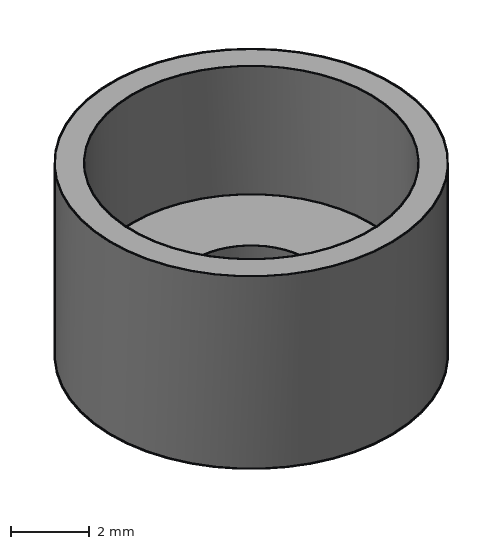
import cadquery as cq

outer_diameter = 10
height = 6
pocket_diameter = 8.5
hole_diameter = 4
floor_thickness = 2

pocket_depth = height - floor_thickness

body = cq.Workplane("XY").circle(outer_diameter / 2).extrude(height)

result = body.faces(">Z").workplane().cboreHole(hole_diameter, pocket_diameter, pocket_depth)